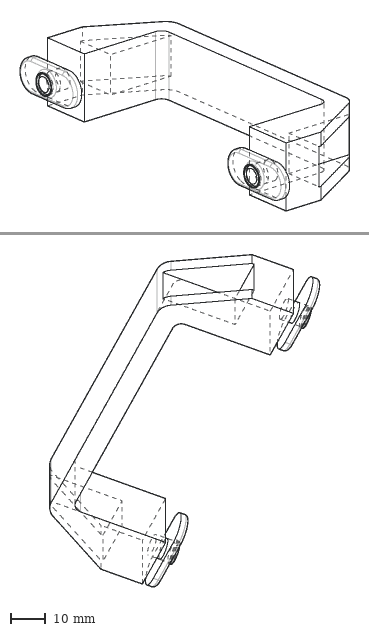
import cadquery as cq
import math


SIDES = (-1, 1)

handle_length = 107.0
handle_width = 21.2
handle_height = 36.1
grip_thickness = 6.4
leg_thickness = 16.5
shoulder_height = 13.2
slope_angle = 30.0
outer_corner_radius = 5.0
inner_corner_radius = 2.7

outer_x = handle_length / 2
inner_x = outer_x - leg_thickness
inner_y = handle_height - grip_thickness
grip_end_x = outer_x - (handle_height - shoulder_height) * math.tan(math.radians(slope_angle))

pocket_width = 12.6
pocket_start_y = 12.5
pocket_floor_x = 40.0

overall_length = 118.6
fastener_x = 46.6
plate_gap = 3.5
plate_thickness = 2.5
plate_width = 11.3
plate_edge_radius = 1.0
boss_diameter = 7.1
boss_height = 1.2
boss_base_radius = 0.7

plate_length = overall_length - 2 * fastener_x
plate_face_depth = plate_gap + plate_thickness

bolt_diameter = 6.4
bolt_chamfer = 0.8
bolt_length = plate_face_depth + boss_height


def make_pocket_cutter(side):
    """Block that cuts the flat-floored pocket into one sloping side."""
    depth = outer_x - pocket_floor_x
    length = handle_height - pocket_start_y
    center = (side * (pocket_floor_x + depth / 2), pocket_start_y + length / 2, 0)
    return cq.Workplane("XY").box(depth, length, pocket_width).translate(center)


def make_handle():
    """Bow with sloping outer sides, rounded corners and a pocket in each slope."""
    outline = [
        (-outer_x, 0),
        (-outer_x, shoulder_height),
        (-grip_end_x, handle_height),
        (grip_end_x, handle_height),
        (outer_x, shoulder_height),
        (outer_x, 0),
        (inner_x, 0),
        (inner_x, inner_y),
        (-inner_x, inner_y),
        (-inner_x, 0),
    ]
    bow = cq.Workplane("XY").polyline(outline).close().extrude(handle_width / 2, both=True)
    bow = bow.edges("|Z").edges(">>Y[-2]").fillet(inner_corner_radius)
    bow = bow.edges("|Z").edges(">>Y").fillet(outer_corner_radius)
    for side in SIDES:
        bow = bow.cut(make_pocket_cutter(side))
    return bow


def make_cylinder(x, start_depth, diameter, length):
    """Cylinder along -Y that starts at the given depth below the mounting plane."""
    return cq.Workplane("XZ", origin=(x, -start_depth, 0)).circle(diameter / 2).extrude(length)


def make_clamp_plate(x):
    """Round-ended plate with a rounded front edge, a filleted boss and a bolt hole."""
    plate = (
        cq.Workplane("XZ", origin=(x, -plate_gap, 0))
        .slot2D(plate_length, plate_width)
        .extrude(plate_thickness)
        .faces("<Y")
        .edges()
        .fillet(plate_edge_radius)
    )
    plate = plate.union(make_cylinder(x, plate_face_depth, boss_diameter, boss_height))
    boss_base_center = (x, -plate_face_depth, 0)
    boss_base = cq.selectors.NearestToPointSelector(boss_base_center)
    plate = plate.edges(boss_base).fillet(boss_base_radius)
    return plate.cut(make_cylinder(x, 0, bolt_diameter, bolt_length))


def make_bolt(x):
    """Plain bolt with a chamfered end, flush with the boss."""
    return make_cylinder(x, 0, bolt_diameter, bolt_length).faces("<Y").chamfer(bolt_chamfer)


handle = make_handle()
clamp_plates = [make_clamp_plate(side * fastener_x) for side in SIDES]
bolts = [make_bolt(side * fastener_x) for side in SIDES]

result = cq.Compound.makeCompound([
    handle.solids().val(),
    *[plate.solids().val() for plate in clamp_plates],
    *[bolt.solids().val() for bolt in bolts],
])